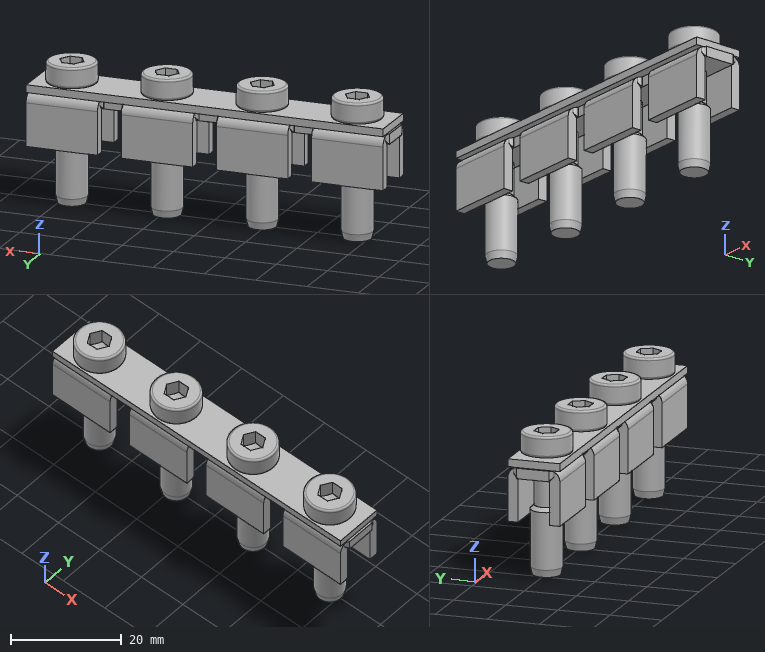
import cadquery as cq
import math

overall_length = 70.5
screw_count = 4
screw_pitch = 18.55

plate_width = 10.0
plate_thickness = 1.5

sheet_thickness = 2.0
leg_length = 13.95
leg_drop = 8.3
gusset_radius = 0.85
strip_width = plate_width - 2 * sheet_thickness
leg_span = (screw_count - 1) * screw_pitch + leg_length
strip_overhang = (overall_length - leg_span) / 2
plate_length = leg_span
strip_top = -plate_thickness
strip_bottom = strip_top - sheet_thickness

head_diameter = 9.5
head_height = 4.0
head_round = 0.4
neck_diameter = 4.5
neck_length = 9.95
shank_diameter = 6.0
screw_length = 23.0
tip_diameter = 5.3
tip_length = 1.5
hex_across_flats = 4.0
hex_depth = 2.95
hex_floor_slope = 30.0

screw_positions = [(i - (screw_count - 1) / 2) * screw_pitch for i in range(screw_count)]


def make_screw_holes():
    """Cylinders that fit the screw necks, reaching through plate and strip."""
    return (
        cq.Workplane("XY")
        .workplane(offset=strip_bottom)
        .pushPoints([(x, 0) for x in screw_positions])
        .circle(neck_diameter / 2)
        .extrude(-strip_bottom)
    )


def make_plate():
    plate = cq.Workplane("XY").box(
        plate_length, plate_width, plate_thickness, centered=(True, True, False)
    )
    return plate.translate((0, 0, -plate_thickness)).cut(make_screw_holes())


def make_leg():
    """Leg on the +Y side, centred on X = 0, with its rounded bend at the strip edge."""
    inner_y = strip_width / 2
    return (
        cq.Workplane("YZ")
        .moveTo(inner_y, strip_top)
        .radiusArc((plate_width / 2, strip_bottom), sheet_thickness)
        .lineTo(plate_width / 2, strip_bottom - leg_drop)
        .lineTo(inner_y, strip_bottom - leg_drop)
        .close()
        .extrude(leg_length / 2, both=True)
    )


def make_gusset():
    """Concave corner between the strip edge and the +X side of a +Y leg, mitred below."""
    inner_y = strip_width / 2
    outer_y = inner_y + gusset_radius
    leg_side = leg_length / 2
    bend_height = math.sqrt(sheet_thickness**2 - gusset_radius**2)
    block = (
        cq.Workplane("YZ")
        .workplane(offset=leg_side)
        .moveTo(inner_y, strip_bottom)
        .lineTo(outer_y, strip_bottom + gusset_radius)
        .lineTo(outer_y, strip_bottom + bend_height)
        .radiusArc((inner_y, strip_top), -sheet_thickness)
        .close()
        .extrude(strip_overhang)
    )
    hollow = (
        cq.Workplane("XY")
        .workplane(offset=strip_bottom)
        .center(leg_side + gusset_radius, outer_y)
        .circle(gusset_radius)
        .extrude(sheet_thickness)
    )
    return block.cut(hollow)


def make_comb():
    comb = (
        cq.Workplane("XY")
        .box(overall_length, strip_width, sheet_thickness, centered=(True, True, False))
        .translate((0, 0, strip_bottom))
    )
    gusset = make_gusset()
    leg = make_leg().union(gusset).union(gusset.mirror("YZ"))
    leg_pair = [leg, leg.mirror("XZ")]
    for x in screw_positions:
        for side in leg_pair:
            comb = comb.union(side.translate((x, 0, 0)))
    return comb.cut(make_screw_holes())


def make_hex_socket():
    """Hexagonal recess whose conical floor ends in a central point."""
    corner_radius = hex_across_flats / math.sqrt(3)
    point_depth = hex_depth + corner_radius * math.tan(math.radians(hex_floor_slope))
    hexagon = (
        cq.Workplane("XY")
        .workplane(offset=head_height - point_depth)
        .polygon(6, 2 * corner_radius)
        .extrude(point_depth)
    )
    pointed_pin = (
        cq.Workplane("XZ")
        .moveTo(0, head_height)
        .lineTo(corner_radius, head_height)
        .lineTo(corner_radius, head_height - hex_depth)
        .lineTo(0, head_height - point_depth)
        .close()
        .revolve(360, (0, 0), (0, 1))
    )
    return hexagon.intersect(pointed_pin)


def make_screw():
    head = (
        cq.Workplane("XY")
        .circle(head_diameter / 2)
        .extrude(head_height)
        .edges()
        .fillet(head_round)
    )
    shoulder_rise = (shank_diameter - neck_diameter) / 2
    stem = (
        cq.Workplane("XZ")
        .moveTo(0, head_height / 2)
        .lineTo(neck_diameter / 2, head_height / 2)
        .lineTo(neck_diameter / 2, -neck_length)
        .lineTo(shank_diameter / 2, -neck_length - shoulder_rise)
        .lineTo(shank_diameter / 2, tip_length - screw_length)
        .lineTo(tip_diameter / 2, -screw_length)
        .lineTo(0, -screw_length)
        .close()
        .revolve(360, (0, 0), (0, 1))
    )
    return head.union(stem).cut(make_hex_socket())


plate = make_plate().solids()
comb = make_comb().solids()
screw = make_screw().solids()
screws = [screw.translate((x, 0, 0)).val() for x in screw_positions]

result = cq.Compound.makeCompound([plate.val(), comb.val(), *screws])